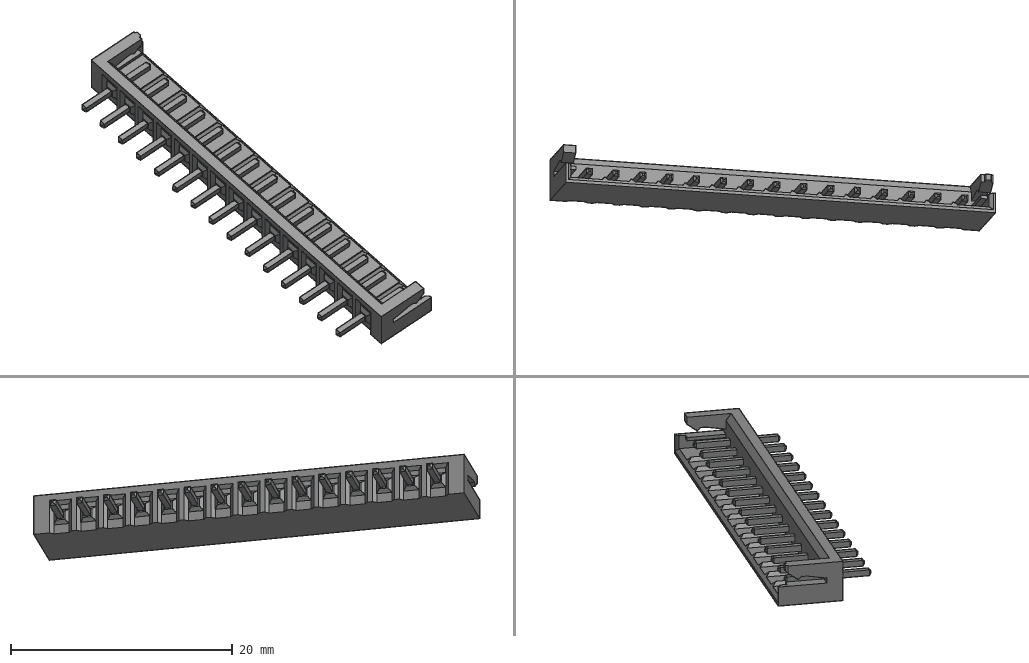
import cadquery as cq

length = 40.0
depth = 6.0
height = 3.8
half_length = length / 2

pin_count = 15
pitch = length / (pin_count + 1)
pin_size = 0.55
pin_height = 1.6
tail_length = 3.2
pin_reach = 4.85
pin_taper = 0.2
pin_positions = [(i - (pin_count - 1) / 2) * pitch for i in range(pin_count)]

cheek_thickness = 0.5
cheek_height = 1.85
floor_height = 0.6
wall_thickness = 1.5
wall_lead_width = 0.5
wall_lead_height = 0.65
mouth_chamfer = 0.3
cavity_half = half_length - cheek_thickness

ridge_half_width = 0.3
ridge_height = 0.35
ridge_positions = [x + pitch / 2 for x in pin_positions[:-1]]

arm_thickness = 1.1
arm_end = 5.1
slot_top = 2.3
arch_start = 3.35
arch_end = 3.85
arch_height = 2.7
barb_end = 4.15
barb_height = 2.4
nose_end = 5.3
nose_height = 3.25
arm_inner = half_length - arm_thickness

key_center = 0.5
key_base = 0.7
key_tip = 0.5

lip_thickness = 0.3

well_width = 2.05
well_height = 3.1
well_depth = 0.3
boss_base = 1.45


def along_x(points, half):
    """Extrude a (Y, Z) outline from -half to half along X."""
    return cq.Workplane("YZ").polyline(points).close().extrude(half, both=True)


def upright(points, z_min, z_max):
    """Extrude an (X, Y) outline between two heights."""
    return cq.Workplane("XY", origin=(0, 0, z_min)).polyline(points).close().extrude(z_max - z_min)


def frustum(y_first, first, y_second, second):
    """Taper along Y between two rectangles, each given as (half width, bottom, top)."""

    def corners(half, bottom, top):
        return [(-half, bottom), (half, bottom), (half, top), (-half, top)]

    return (
        cq.Workplane("XZ", origin=(0, y_first, 0))
        .polyline(corners(*first))
        .close()
        .workplane(offset=y_first - y_second)
        .polyline(corners(*second))
        .close()
        .loft(ruled=True)
    )


def copies(shape, positions):
    """Copies of a shape at the given X positions."""
    solid = shape.val()
    return cq.Workplane("XY").newObject([solid.translate(cq.Vector(x, 0, 0)) for x in positions])


def end_profile():
    """Full-length bar with the side outline of the ends: cheek, slot and barbed latch arm."""
    points = [
        (0, 0),
        (depth, 0),
        (depth, cheek_height),
        (wall_thickness, cheek_height),
        (wall_thickness, slot_top),
        (arch_start, arch_height),
        (arch_end, arch_height),
        (barb_end, barb_height),
        (nose_end, nose_height),
        (nose_end, height),
        (0, height),
    ]
    return along_x(points, half_length)


def arm_gap():
    """Open space between the two arms, with a lead-in slope along the top of the wall."""
    points = [
        (wall_thickness, cheek_height),
        (depth, cheek_height),
        (depth, height),
        (wall_thickness - wall_lead_width, height),
        (wall_thickness, height - wall_lead_height),
    ]
    return along_x(points, arm_inner)


def arm_tip_trim():
    """Material beyond the flat arm tips, leaving the key on the -X arm."""
    key_x = key_center - half_length
    points = [
        (-half_length, arm_end),
        (key_x - key_base / 2, arm_end),
        (key_x - key_tip / 2, nose_end),
        (key_x + key_tip / 2, nose_end),
        (key_x + key_base / 2, arm_end),
        (half_length, arm_end),
        (half_length, depth),
        (-half_length, depth),
    ]
    return upright(points, cheek_height, height)


def cavity():
    """Space between the cheeks, without the strips taken up by the lips."""
    points = [
        (-cavity_half, wall_thickness),
        (cavity_half, wall_thickness),
        (cavity_half, depth),
        (-cavity_half, depth),
    ]
    space = upright(points, floor_height, cheek_height)
    for side in (-1, 1):
        space = space.cut(lip(side))
    return space


def lip(side):
    """Strip along the top inner edge of one cheek, ending level with the arm tip."""
    points = [
        (side * half_length, wall_thickness),
        (side * arm_inner, wall_thickness),
        (side * arm_inner, arm_end),
        (side * half_length, arm_end),
    ]
    return upright(points, cheek_height - lip_thickness, cheek_height)


def ridge():
    return (
        cq.Workplane("XZ", origin=(0, wall_thickness, floor_height))
        .polyline([(-ridge_half_width, 0), (0, ridge_height), (ridge_half_width, 0)])
        .close()
        .extrude(wall_thickness - depth)
    )


def mouth_flare():
    """45-degree lead-in on the floor, ridges and cheeks, carried back to the ridge tops."""
    inner = (cavity_half - ridge_height, floor_height + ridge_height, cheek_height)
    outer = (cavity_half + mouth_chamfer, floor_height - mouth_chamfer, cheek_height)
    return frustum(depth - mouth_chamfer - ridge_height, inner, depth, outer)


def well():
    """Recess open at the bottom, with 45-degree sides and top."""
    outer = (well_width / 2, 0, well_height)
    inner = (well_width / 2 - well_depth, 0, well_height - well_depth)
    return frustum(0, outer, well_depth, inner)


def boss():
    """45-degree pyramid that rises from the well floor to the tail face."""
    base = boss_base / 2
    tip = base - well_depth
    return frustum(
        well_depth,
        (base, pin_height - base, pin_height + base),
        0,
        (tip, pin_height - tip, pin_height + tip),
    )


def pin():
    """Square pin through the wall, tapered at both ends."""
    pin_length = pin_reach + tail_length
    middle = (pin_reach - tail_length) / 2
    return (
        cq.Workplane("XY", origin=(0, middle, pin_height))
        .box(pin_size, pin_length, pin_size)
        .faces("<Y or >Y")
        .chamfer(pin_taper)
    )


result = (
    end_profile()
    .cut(arm_gap())
    .cut(arm_tip_trim())
    .cut(cavity())
    .union(copies(ridge(), ridge_positions))
    .cut(mouth_flare())
    .cut(copies(well(), pin_positions))
    .union(copies(boss().union(pin()), pin_positions))
)